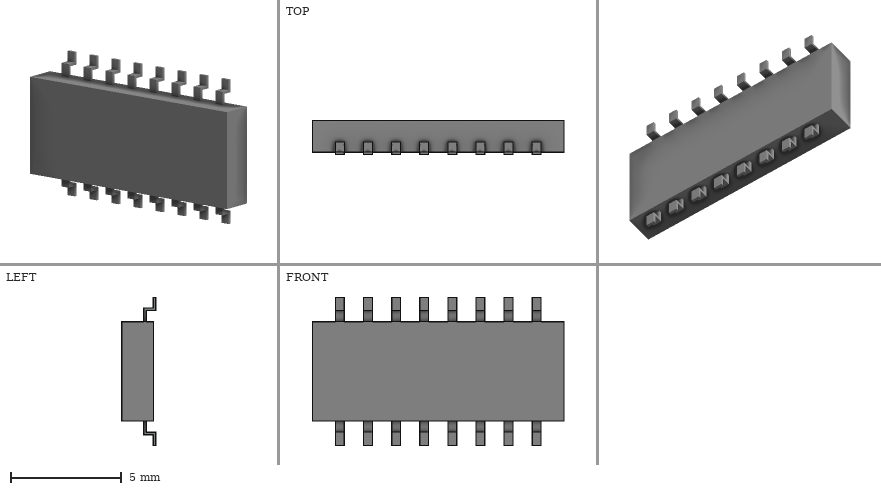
import cadquery as cq

body_length = 11.39
body_depth = 1.45
body_height = 4.5

lead_count = 8
lead_row_span = 8.9
lead_width = 0.41
lead_thickness = 0.13
lead_reach = 0.56
foot_height = 0.6
foot_standoff = 0.1
overall_height = 6.7

lead_pitch = lead_row_span / (lead_count - 1)

foot_front = -body_depth / 2 - foot_standoff
foot_back = foot_front + lead_thickness
shank_back = foot_front + lead_reach
shank_front = shank_back - lead_thickness

body_top = body_height / 2
lead_top = overall_height / 2
step_bottom = lead_top - foot_height
step_top = step_bottom + lead_thickness


def make_body():
    return cq.Workplane("XY").box(body_length, body_depth, body_height)


def make_top_lead(x_center):
    """Z-bent strip: shank out of the body, step forward, foot pointing up."""
    profile = [
        (shank_back, body_top),
        (shank_back, step_top),
        (foot_back, step_top),
        (foot_back, lead_top),
        (foot_front, lead_top),
        (foot_front, step_bottom),
        (shank_front, step_bottom),
        (shank_front, body_top),
    ]
    return (
        cq.Workplane("YZ", origin=(x_center, 0, 0))
        .polyline(profile)
        .close()
        .extrude(lead_width / 2, both=True)
    )


result = make_body()
for index in range(lead_count):
    x_center = index * lead_pitch - lead_row_span / 2
    top_lead = make_top_lead(x_center)
    bottom_lead = top_lead.mirror("XY")
    result = result.union(top_lead).union(bottom_lead)